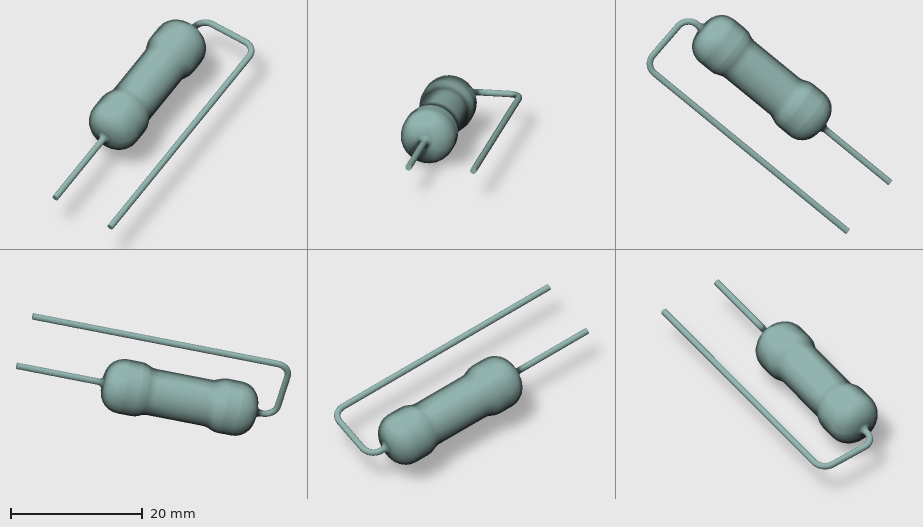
import cadquery as cq
import math

total_length = 40.9
total_width = 14.7
lead_diameter = 1.0
lead_radius = lead_diameter / 2
bend_radius = 2.0

cap_radius = 8.4 / 2
waist_radius = 7.15 / 2
waist_length = 8.55
flare_length = 2.45
cap_length = 2.2
end_radius = 3.03
neck_radius = 0.8

waist_half = waist_length / 2
cap_start = waist_half + flare_length
cap_end = cap_start + cap_length
body_half = cap_end + end_radius
end_centre = cap_radius - end_radius
neck_outer = lead_radius + neck_radius
neck_start = cap_end + math.sqrt(end_radius**2 - (neck_outer - end_centre) ** 2)
neck_end = neck_start + neck_radius

body_to_bend = 3.45
lead_spacing = total_width - cap_radius - lead_radius
lead_top = body_half + body_to_bend
lead_bottom = lead_top - total_length
crossbar_y = lead_top - lead_radius
bend_start = crossbar_y - bend_radius
diagonal = math.sqrt(0.5)
bend_inset = bend_radius * (1 - diagonal)


def half_body():
    """The +Y half of the body, turned about the Y axis."""
    rise = cap_radius - waist_radius
    flare_middle = (waist_radius + rise / 2, waist_half + flare_length / 2)
    neck_middle = (
        neck_outer - neck_radius * diagonal,
        neck_end - neck_radius * diagonal,
    )
    return (
        cq.Workplane("XY")
        .lineTo(waist_radius, 0)
        .lineTo(waist_radius, waist_half)
        .tangentArcPoint(flare_middle, relative=False)
        .tangentArcPoint((cap_radius, cap_start), relative=False)
        .lineTo(cap_radius, cap_end)
        .threePointArc(
            (end_centre + end_radius * diagonal, cap_end + end_radius * diagonal),
            (neck_outer, neck_start),
        )
        .threePointArc(neck_middle, (lead_radius, neck_end))
        .lineTo(0, neck_end)
        .close()
        .revolve(360, (0, 0, 0), (0, 1, 0))
    )


def straight_lead():
    """The lead running straight out at -Y."""
    return (
        cq.Workplane("XZ", origin=(0, lead_bottom, 0))
        .circle(lead_radius)
        .extrude(lead_bottom)
    )


def bent_lead():
    """The lead leaving at +Y, bent twice to run parallel to the body."""
    path = (
        cq.Workplane("XY")
        .lineTo(0, bend_start)
        .threePointArc(
            (bend_inset, crossbar_y - bend_inset),
            (bend_radius, crossbar_y),
        )
        .lineTo(lead_spacing - bend_radius, crossbar_y)
        .threePointArc(
            (lead_spacing - bend_inset, crossbar_y - bend_inset),
            (lead_spacing, bend_start),
        )
        .lineTo(lead_spacing, lead_bottom)
    )
    return cq.Workplane("XZ").circle(lead_radius).sweep(path)


upper_half = half_body()
body = upper_half.union(upper_half.mirror("XZ"))
result = body.union(straight_lead()).union(bent_lead())